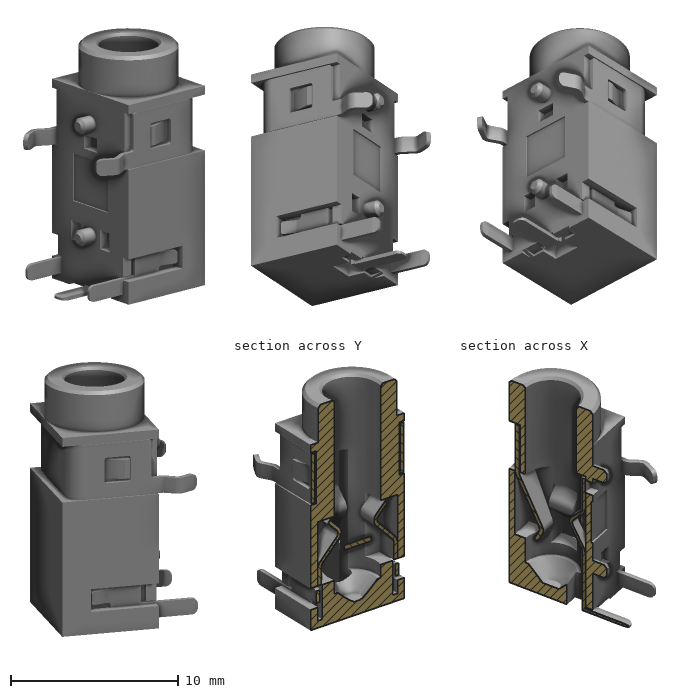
import cadquery as cq
import math


BODY_HALF_X = 3.51
BODY_HALF_Y = 3.0
TOTAL_HEIGHT = 15.0
FLANGE_TOP = 12.5
FLANGE_BOTTOM = 11.94
LOWER_TOP = 8.45
RIM_CHAMFER = 0.2

BORE_RADIUS = 1.8
BORE_FLOOR = 1.95
BORE_CHAMFER = 0.16
CONE_TOP_RADIUS = 1.59
CONE_TIP_RADIUS = 0.58
CONE_DEPTH = CONE_TOP_RADIUS - CONE_TIP_RADIUS

BEND_RADIUS = 0.3

SHELL_HALF_X = 3.46
SHELL_THICK = 0.3
SHELL_BACK_Y = 2.55
SHELL_FRONT_Y = -2.56
SHELL_CORNER = 0.92
SHELL_GAP = 0.05
SHELL_BOTTOM = LOWER_TOP + SHELL_GAP
SHELL_TOP = FLANGE_BOTTOM - SHELL_GAP
SHELL_EDGE_RADIUS = 0.15
SHELL_LEG_TOP = 9.48
SHELL_LEG_MID_X = SHELL_HALF_X - SHELL_THICK / 2
LEG_BEND_Y = -3.33
LEG_APEX = (3.81, -4.22)
LEG_TIP = (3.22, -5.34)
LEG_TIP_RADIUS = 0.36
SHELL_WINDOW_Y = (-1.26, 0.36)
SHELL_WINDOW_Z = (9.39, 11.0)

TONGUE_ROOT_HALF_X = 1.5
TONGUE_AXIS_HALF_X = 0.9
TONGUE_BEND_Z = 8.3
TONGUE_APEX = (0.62, 4.8)
TONGUE_TIP = (1.06, 3.9)
TONGUE_SLOT_BOTTOM = 3.75

WAIST_HALF_X = SHELL_HALF_X - SHELL_THICK - SHELL_GAP
WAIST_BACK_Y = SHELL_BACK_Y - SHELL_THICK - SHELL_GAP
WAIST_CORNER = SHELL_CORNER - SHELL_THICK - SHELL_GAP
SNAP_Z = (9.58, 10.8)
SNAP_RAMP_Y = (-0.9, 0.22)
SNAP_END_Y = -1.22

PEG_RADIUS = 0.5
PEG_LENGTH = 1.0
PEG_CHAMFER = 0.21
PEG_Z = (3.51, 10.52)
LABEL_HALF_X = 1.6
LABEL_Z = (5.31, 8.3)
LABEL_DEPTH = 0.1
SPRING_WINDOW_Z = (8.82, 9.7)
POCKET_X = (0.87, 1.77)
POCKET_Z = (2.86, 4.05)
POCKET_DEPTH = 0.55
RAMP_X = (1.08, 1.7)
RAMP_Z = (2.86, 2.95, 3.88)
RAMP_RISE = 0.2

PIN_WIDTH = 0.99
PIN_END_Y = -5.6
PIN_TAPER_LENGTH = 0.46
PIN_TAPER = 0.05
PIN_TIP_RADIUS = 0.36
CLEARANCE = 0.05

SIDE_OUTER_X = 2.97
SIDE_THICK = 0.27
SIDE_MID_X = SIDE_OUTER_X - SIDE_THICK / 2
SIDE_PIN_BOTTOM = 0.51
SIDE_PIN_TOP = SIDE_PIN_BOTTOM + PIN_WIDTH
SIDE_PLATE_Y = (-2.05, -0.15)
SIDE_ARM_Y = (-0.78, 0.93)
SIDE_ARM_BEND_Z = 4.2
SIDE_ARM_APEX = (1.17, 5.92)
SIDE_ARM_TIP = (2.15, 6.9)
SIDE_SLOT_TOP = 7.12
TAB_Z = (1.71, 2.54)
TAB_BEND_Y = 0.15
TAB_END = (3.1, 1.11)
TAB_CORNER = 0.15

RECESS_Z = (1.41, 2.84)
RECESS_BACK_Y = 1.23
RECESS_SHOULDER_Y = -2.35
SIDE_POCKET_X = SIDE_OUTER_X - SIDE_THICK - CLEARANCE
PIN_SLOT_TOP = SIDE_PIN_TOP + 0.1

CENTRE_THICK = 0.24
SPRING_HALF_X = 0.58
SPRING_FRONT_Y = -2.46
SPRING_MID_Y = SPRING_FRONT_Y + CENTRE_THICK / 2
SPRING_LOWER_BEND_Z = 4.5
SPRING_APEX = (-1.32, 6.3)
SPRING_UPPER_BEND_Z = 7.35
SPRING_TOP = 9.82

SPRING_SLOT_HALF_X = 0.88
SPRING_SLOT_BACK_Y = -1.15
SPRING_SLOT_TOP = 9.98
CENTRE_OPENING_HALF_X = 0.6
CENTRE_OPENING_TOP = 0.32
FOOT_RECESS_HALF_X = (1.66, 1.9)
FOOT_RECESS_TOP = 0.16
FOOT_RECESS_DEPTH = 0.75


def box(x, y, z):
    """Box from three (low, high) pairs."""
    return (
        cq.Workplane("XY")
        .box(x[1] - x[0], y[1] - y[0], z[1] - z[0], centered=False)
        .translate((x[0], y[0], z[0]))
    )


def prism(plane, points, low, high):
    """Closed polygon on a plane through the origin, extruded from low to high along its normal."""
    return cq.Workplane(plane).workplane(offset=low).polyline(points).close().extrude(high - low)


def strip_outline(path, thickness):
    """Outline of a bent strip of constant thickness whose middle line is the given path."""
    headings = [math.atan2(b[1] - a[1], b[0] - a[0]) for a, b in zip(path, path[1:])]
    headings = [headings[0], *headings, headings[-1]]
    left = []
    right = []
    for (u, v), before, after in zip(path, headings, headings[1:]):
        normal = (before + after + math.pi) / 2
        reach = thickness / 2 / math.cos((after - before) / 2)
        left.append((u + reach * math.cos(normal), v + reach * math.sin(normal)))
        right.append((u - reach * math.cos(normal), v - reach * math.sin(normal)))
    return left + right[::-1]


def round_edge(body, point, radius):
    """Fillet the edge whose midpoint is nearest to the point."""
    return body.edges(cq.selectors.NearestToPointSelector(point)).fillet(radius)


def bent_strip(plane, path, thickness, low, high):
    """Sheet-metal strip that follows the path in the plane, with every bend rounded."""
    outline = strip_outline(path, thickness)
    strip = prism(plane, outline, low, high)
    frame = cq.Plane.named(plane)
    last = len(path) - 1
    for i in range(1, last):
        (u0, v0), (u1, v1), (u2, v2) = path[i - 1 : i + 2]
        turns_left = (u1 - u0) * (v2 - v1) > (v1 - v0) * (u2 - u1)
        left_radius = BEND_RADIUS if turns_left else BEND_RADIUS + thickness
        right_radius = 2 * BEND_RADIUS + thickness - left_radius
        for (u, v), radius in ((outline[i], left_radius), (outline[-1 - i], right_radius)):
            strip = round_edge(strip, frame.toWorldCoords((u, v, (low + high) / 2)), radius)
    return strip


def both_sides(body):
    """The body together with its mirror image across the YZ plane."""
    return body.union(body.mirror("YZ"))


def solder_pin(start_y, thickness):
    """Flat pin along -Y, centred on X = Z = 0, with a tapered and rounded tip."""
    half = thickness / 2
    taper_y = PIN_END_Y + PIN_TAPER_LENGTH
    side = [
        (start_y, -half),
        (taper_y, -half),
        (PIN_END_Y, PIN_TAPER - half),
        (PIN_END_Y, half - PIN_TAPER),
        (taper_y, half),
        (start_y, half),
    ]
    pin = prism("YZ", side, -PIN_WIDTH / 2, PIN_WIDTH / 2)
    return pin.faces("<Y").edges("|Z").fillet(PIN_TIP_RADIUS)


def housing_outside():
    x = (-BODY_HALF_X, BODY_HALF_X)
    y = (-BODY_HALF_Y, BODY_HALF_Y)
    lower = box(x, y, (0, LOWER_TOP))
    flange = box(x, y, (FLANGE_BOTTOM, FLANGE_TOP))
    waist = box((-WAIST_HALF_X, WAIST_HALF_X), (-BODY_HALF_Y, WAIST_BACK_Y), (LOWER_TOP, FLANGE_BOTTOM))
    waist = waist.edges("|Z and >Y").fillet(WAIST_CORNER)
    barrel = cq.Workplane("XY").workplane(offset=FLANGE_TOP).circle(BODY_HALF_Y)
    barrel = barrel.extrude(TOTAL_HEIGHT - FLANGE_TOP).faces(">Z").chamfer(RIM_CHAMFER)
    return lower.union(waist).union(flange).union(barrel)


def bore():
    half_section = [
        (0, BORE_FLOOR - CONE_DEPTH),
        (CONE_TIP_RADIUS, BORE_FLOOR - CONE_DEPTH),
        (CONE_TOP_RADIUS, BORE_FLOOR),
        (BORE_RADIUS, BORE_FLOOR),
        (BORE_RADIUS, TOTAL_HEIGHT - BORE_CHAMFER),
        (BORE_RADIUS + BORE_CHAMFER, TOTAL_HEIGHT),
        (0, TOTAL_HEIGHT),
    ]
    return cq.Workplane("XZ").polyline(half_section).close().revolve(360, (0, 0), (0, 1))


def snap_wedges():
    """Ramps on the waist sides that latch into the shell windows."""
    plan = [
        (0, SNAP_RAMP_Y[1]),
        (WAIST_HALF_X, SNAP_RAMP_Y[1]),
        (BODY_HALF_X, SNAP_RAMP_Y[0]),
        (BODY_HALF_X, SNAP_END_Y),
        (0, SNAP_END_Y),
    ]
    return both_sides(prism("XY", plan, *SNAP_Z))


def locating_peg(z):
    peg = cq.Workplane("XZ", origin=(0, -BODY_HALF_Y, z)).circle(PEG_RADIUS).extrude(PEG_LENGTH)
    return peg.faces("<Y").chamfer(PEG_CHAMFER)


def front_pockets():
    """Pair of blind windows beside the lower peg, each with a steep ramp at its back."""
    back_y = POCKET_DEPTH - BODY_HALF_Y
    ramp_side = [(back_y, RAMP_Z[0]), (back_y - RAMP_RISE, RAMP_Z[1]), (back_y, RAMP_Z[2])]
    pocket = box(POCKET_X, (-BODY_HALF_Y, back_y), POCKET_Z)
    return both_sides(pocket.cut(prism("YZ", ramp_side, *RAMP_X)))


def label_panel():
    return box((-LABEL_HALF_X, LABEL_HALF_X), (-BODY_HALF_Y, LABEL_DEPTH - BODY_HALF_Y), LABEL_Z)


def centre_contact_openings():
    """Spring slot beside the bore, its front window, the pin exit and the recess at the foot."""
    opening_x = (-CENTRE_OPENING_HALF_X, CENTRE_OPENING_HALF_X)
    front_wall = (-BODY_HALF_Y, SPRING_FRONT_Y)
    slot_x = (-SPRING_SLOT_HALF_X, SPRING_SLOT_HALF_X)
    slot = box(slot_x, (SPRING_FRONT_Y, SPRING_SLOT_BACK_Y), (0, SPRING_SLOT_TOP))
    window = box(opening_x, front_wall, SPRING_WINDOW_Z)
    pin_exit = box(opening_x, front_wall, (0, CENTRE_OPENING_TOP))
    foot_back_y = FOOT_RECESS_DEPTH - BODY_HALF_Y
    inner_half, outer_half = FOOT_RECESS_HALF_X
    foot = box((-inner_half, inner_half), (-BODY_HALF_Y, foot_back_y), (0, FOOT_RECESS_TOP))
    slope = [(-BODY_HALF_Y, 0), (-BODY_HALF_Y, FOOT_RECESS_TOP), (foot_back_y, 0)]
    return slot.union(window).union(pin_exit).union(foot).union(prism("YZ", slope, -outer_half, outer_half))


def side_contact_openings():
    """On each side: an open recess, a pocket for the plate, a pin slot and a slot for the arm."""
    pocket_x = (SIDE_POCKET_X, SIDE_OUTER_X)
    arm_y = (SIDE_ARM_Y[0] - CLEARANCE, SIDE_ARM_Y[1] + CLEARANCE)
    recess = box((SIDE_OUTER_X, BODY_HALF_X), (-BODY_HALF_Y, RECESS_BACK_Y), RECESS_Z)
    pocket = box(pocket_x, (RECESS_SHOULDER_Y, RECESS_BACK_Y), (SIDE_PIN_BOTTOM, RECESS_Z[1]))
    pin_slot = box(pocket_x, (-BODY_HALF_Y, RECESS_SHOULDER_Y), (SIDE_PIN_BOTTOM, PIN_SLOT_TOP))
    arm_slot = box((SIDE_ARM_APEX[0], SIDE_OUTER_X), arm_y, (RECESS_Z[1], SIDE_SLOT_TOP))
    return both_sides(recess.union(pocket).union(pin_slot).union(arm_slot))


def tongue_slot():
    half_x = TONGUE_ROOT_HALF_X + CLEARANCE
    return box((-half_x, half_x), (0, SHELL_BACK_Y), (TONGUE_SLOT_BOTTOM, LOWER_TOP))


def make_housing():
    body = housing_outside().union(snap_wedges())
    for z in PEG_Z:
        body = body.union(locating_peg(z))
    openings = [
        bore(),
        front_pockets(),
        label_panel(),
        centre_contact_openings(),
        side_contact_openings(),
        tongue_slot(),
    ]
    for opening in openings:
        body = body.cut(opening)
    return body


def shell_wrap():
    """U-shaped band around the back and sides of the waist, without its legs."""
    inner_half = SHELL_HALF_X - SHELL_THICK
    height = (SHELL_BOTTOM, SHELL_TOP)
    outer = box((-SHELL_HALF_X, SHELL_HALF_X), (SHELL_FRONT_Y, SHELL_BACK_Y), height)
    outer = outer.edges("|Z and >Y").fillet(SHELL_CORNER)
    inner = box((-inner_half, inner_half), (SHELL_FRONT_Y, SHELL_BACK_Y - SHELL_THICK), height)
    inner = inner.edges("|Z and >Y").fillet(SHELL_CORNER - SHELL_THICK)
    window = box((-SHELL_HALF_X, SHELL_HALF_X), SHELL_WINDOW_Y, SHELL_WINDOW_Z)
    window = window.edges("|X").fillet(SHELL_EDGE_RADIUS)
    return outer.cut(inner).cut(window)


def shell_leg():
    """Kinked snap-in leg on the +X side, rounded at its tip."""
    path = [(SHELL_LEG_MID_X, SHELL_FRONT_Y), (SHELL_LEG_MID_X, LEG_BEND_Y), LEG_APEX, LEG_TIP]
    leg = bent_strip("XY", path, SHELL_THICK, SHELL_BOTTOM, SHELL_LEG_TOP)
    for z in (SHELL_BOTTOM, SHELL_LEG_TOP):
        leg = round_edge(leg, (*LEG_TIP, z), LEG_TIP_RADIUS)
    return leg


def shell_tongue():
    """Spring leaning from the back wall into the bore, narrower towards its bend."""
    mid_y = SHELL_BACK_Y - SHELL_THICK / 2
    path = [(mid_y, SHELL_BOTTOM + SHELL_THICK), (mid_y, TONGUE_BEND_Z), TONGUE_APEX, TONGUE_TIP]
    tongue = bent_strip("YZ", path, SHELL_THICK, -TONGUE_ROOT_HALF_X, TONGUE_ROOT_HALF_X)
    plan = [
        (-TONGUE_ROOT_HALF_X, SHELL_BACK_Y),
        (-TONGUE_AXIS_HALF_X, 0),
        (TONGUE_AXIS_HALF_X, 0),
        (TONGUE_ROOT_HALF_X, SHELL_BACK_Y),
    ]
    return tongue.intersect(prism("XY", plan, 0, SHELL_TOP))


def make_shell_contact():
    shell = shell_wrap().union(both_sides(shell_leg()))
    for x in (-SHELL_LEG_MID_X, SHELL_LEG_MID_X):
        for z in (SHELL_TOP, SHELL_LEG_TOP):
            shell = round_edge(shell, (x, SHELL_FRONT_Y, z), SHELL_EDGE_RADIUS)
    return shell.union(shell_tongue())


def make_side_contact():
    """Contact on the +X side: plate with pin, spring arm into the bore and outward tab."""
    inner_x = SIDE_OUTER_X - SIDE_THICK
    plate = box((inner_x, SIDE_OUTER_X), SIDE_PLATE_Y, (SIDE_PIN_BOTTOM, RECESS_Z[1]))

    pin = solder_pin(SIDE_PLATE_Y[0], SIDE_THICK).rotate((0, 0, 0), (0, 1, 0), 90)
    pin = pin.translate((SIDE_MID_X, 0, SIDE_PIN_BOTTOM + PIN_WIDTH / 2))

    arm_path = [(SIDE_MID_X, RECESS_Z[1]), (SIDE_MID_X, SIDE_ARM_BEND_Z), SIDE_ARM_APEX, SIDE_ARM_TIP]
    arm = bent_strip("XZ", arm_path, SIDE_THICK, -SIDE_ARM_Y[1], -SIDE_ARM_Y[0])

    tab_path = [(SIDE_MID_X, SIDE_PLATE_Y[1]), (SIDE_MID_X, TAB_BEND_Y), TAB_END]
    tab = bent_strip("XY", tab_path, SIDE_THICK, *TAB_Z)
    for z in TAB_Z:
        tab = round_edge(tab, (*TAB_END, z), TAB_CORNER)

    contact = plate.union(tab)
    for z in TAB_Z:
        contact = round_edge(contact, (SIDE_MID_X, SIDE_PLATE_Y[1], z), TAB_CORNER)
    return contact.union(pin).union(arm)


def make_centre_contact():
    """Pin at the foot of the housing with a spring rising from it beside the bore."""
    pin = solder_pin(SPRING_MID_Y, CENTRE_THICK).translate((0, 0, CENTRE_THICK / 2))
    path = [
        (SPRING_MID_Y, 0),
        (SPRING_MID_Y, SPRING_LOWER_BEND_Z),
        SPRING_APEX,
        (SPRING_MID_Y, SPRING_UPPER_BEND_Z),
        (SPRING_MID_Y, SPRING_TOP),
    ]
    spring = bent_strip("YZ", path, CENTRE_THICK, -SPRING_HALF_X, SPRING_HALF_X)
    return pin.union(spring)


housing = make_housing()
shell_contact = make_shell_contact()
centre_contact = make_centre_contact()
side_contact = make_side_contact()
side_contacts = [side_contact, side_contact.mirror("YZ")]

bodies = [housing, shell_contact, centre_contact, *side_contacts]
result = cq.Compound.makeCompound([body.solids().val() for body in bodies])